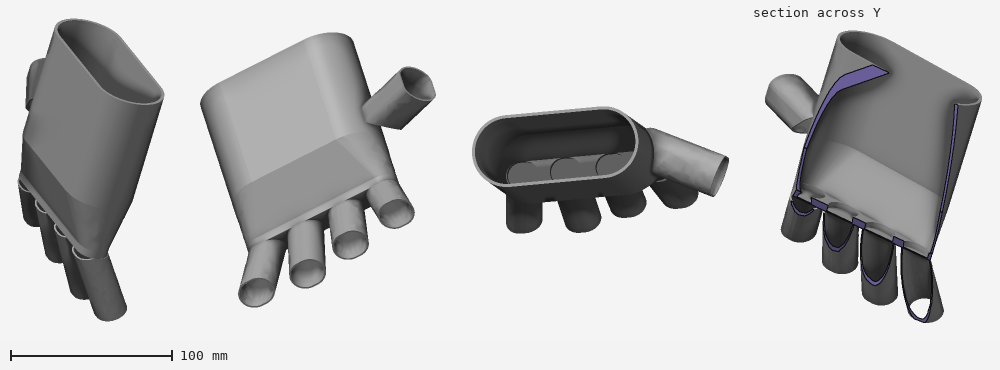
import cadquery as cq
import math


palm_half_straight = 30.0
palm_radius = 22.5
palm_length = 75.3
palm_wall = 1.9

taper_length = 30.0
taper_lower_wall = 1.4

plate_radius = 10.2
plate_half_straight = 42.6
plate_thickness = 5.0
plate_bottom = -taper_length - plate_thickness
pocket_depth = 4.0
pocket_radius = 8.5
pocket_forward = 0.3

finger_half_straight = 1.5
finger_radius = 10.0
finger_wall = 1.0
finger_forward = 1.0
finger_top = plate_bottom + 0.7
fingers = [
    (-41.3, 34.7, 15, 30),
    (-15.0, 40.7, 2.2, 27.5),
    (13.8, 50.5, 0, 29),
    (41.0, 44.5, -11, 30.5),
]

thumb_angle = 26
thumb_width = 26.2
thumb_height = 25.5
thumb_flat = 7.8
thumb_wall = 1.0
thumb_axis_length = 43.9
thumb_tip = (-90.1, 18.3, 11.7)

tilt_x = -11.4
tilt_y = 11.5
tilt_z = -8.6
hand_origin = (11.4, -8.5, 1.4)


def stadium(height, half_straight, radius):
    """Stadium outline in the plane Z = height, with its long axis along X."""
    return (
        cq.Workplane("XY", origin=(0, 0, height))
        .moveTo(-half_straight, -radius)
        .lineTo(half_straight, -radius)
        .threePointArc((half_straight + radius, 0), (half_straight, radius))
        .lineTo(-half_straight, radius)
        .threePointArc((-half_straight - radius, 0), (-half_straight, -radius))
        .close()
    )


def palm_block(inset):
    return stadium(0, palm_half_straight, palm_radius - inset).extrude(palm_length)


def make_palm():
    return palm_block(0).cut(palm_block(palm_wall))


def taper_block(upper_inset, lower_inset):
    lower = stadium(-taper_length, plate_half_straight, plate_radius - lower_inset).wires().val()
    upper = stadium(0, palm_half_straight, palm_radius - upper_inset).wires().val()
    return cq.Workplane(cq.Solid.makeLoft([lower, upper], True))


def make_taper():
    return taper_block(0, 0).cut(taper_block(palm_wall, taper_lower_wall))


def finger_outline(inset):
    return stadium(0, finger_half_straight, finger_radius - inset).wires().val()


def make_plate():
    plate = stadium(plate_bottom, plate_half_straight, plate_radius).extrude(plate_thickness)
    pocket = stadium(-taper_length, finger_half_straight, pocket_radius).extrude(-pocket_depth)
    for place_x, _, _, _ in fingers:
        plate = plate.cut(pocket.translate((place_x, -pocket_forward, 0)))
    return plate


def make_finger(place_x, length, splay, flex):
    sideways = length * math.tan(math.radians(splay))
    tube = cq.Solid.extrudeLinear(
        finger_outline(0), [finger_outline(finger_wall)], cq.Vector(-sideways, 0, -length)
    )
    finger = (
        cq.Workplane(tube)
        .rotate((0, 0, 0), (1, 0, 0), flex)
        .translate((place_x, -finger_forward, finger_top))
    )
    above_plate = (
        cq.Workplane("XY", origin=(0, 0, plate_bottom))
        .rect(4 * palm_length, 4 * palm_length)
        .extrude(palm_length)
    )
    return finger.cut(above_plate)


def thumb_block(inset, length):
    """Upright thumb section in XY (width along X, height along Y), extruded along Z."""
    half_width = thumb_width / 2 - inset
    half_flat = thumb_flat / 2
    rise = (thumb_height - thumb_flat) / 2 - inset
    sides = cq.Workplane("XY").rect(2 * half_width, thumb_flat).extrude(length)
    rounds = (
        cq.Workplane("XY")
        .pushPoints([(0, half_flat), (0, -half_flat)])
        .ellipse(half_width, rise)
        .extrude(length)
    )
    return sides.union(rounds)


def make_thumb():
    half_height = thumb_height / 2
    full_length = thumb_axis_length + half_height
    tube = thumb_block(0, full_length).cut(thumb_block(thumb_wall, full_length))
    mitre = (
        cq.Workplane("YZ")
        .polyline([
            (-half_height, thumb_axis_length - half_height),
            (half_height, full_length),
            (-half_height, full_length),
        ])
        .close()
        .extrude(thumb_width, both=True)
    )
    angle = math.radians(thumb_angle)
    tip_plane = cq.Plane(
        origin=thumb_tip,
        xDir=(math.sin(angle), math.cos(angle), 0),
        normal=(math.cos(angle), -math.sin(angle), 0),
    )
    thumb = tube.cut(mitre).val().located(tip_plane.location)
    return cq.Workplane(thumb).cut(palm_block(0))


def place(body):
    return (
        body.rotate((0, 0, 0), (1, 0, 0), tilt_x)
        .rotate((0, 0, 0), (0, 1, 0), tilt_y)
        .rotate((0, 0, 0), (0, 0, 1), tilt_z)
        .translate(hand_origin)
    )


palm = place(make_palm())
taper = place(make_taper())
plate = place(make_plate())
thumb = place(make_thumb())
placed_fingers = [place(make_finger(*row)) for row in fingers]

result = cq.Compound.makeCompound(
    [palm.val(), taper.val(), plate.val(), thumb.val(), *[finger.val() for finger in placed_fingers]]
)